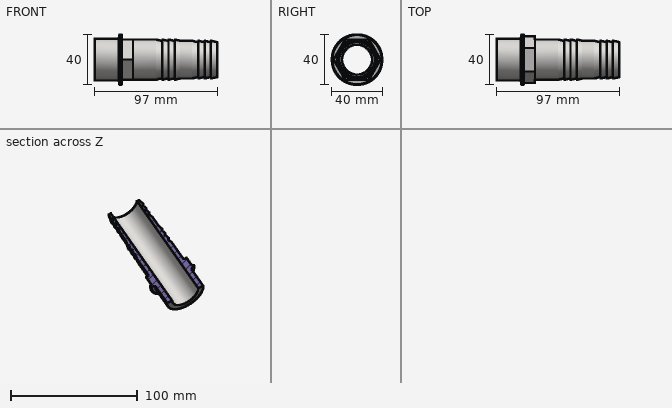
import cadquery as cq
import math

total_length = 97.0
spigot_diameter = 33.2
bore_diameter = 23.5

flange_start = 19.0
flange_end = 21.6
flange_diameter = 40.0
front_face_setback = 0.5
rim_bevel = 0.6

hex_across_flats = 32.0
hex_end = 30.3

barb_count = 4
barb_pitch = 4.9
barb_depth = 1.1
barb_taper_length = 4.3
barb_root_length = 0.4
inner_barb_start = 48.6
inner_barb_diameter = 32.0
outer_barb_start = 77.0
outer_barb_diameter = 30.0

tip_setback = 0.3


def barb_points(start, diameter):
    """List crests and short roots of a barb group, leaving the last taper open."""
    crest = diameter / 2
    root = crest - barb_depth
    points = []
    for index in range(barb_count):
        crest_x = start + index * barb_pitch
        points.append((crest_x, crest))
        if index < barb_count - 1:
            taper_end = crest_x + barb_taper_length
            points.append((taper_end, root))
            points.append((taper_end + barb_root_length, root))
    return points


def revolve_profile(points):
    """Revolve an (x, radius) outline, closed along the X axis, around that axis."""
    outline = [(points[0][0], 0)] + points + [(points[-1][0], 0)]
    return cq.Workplane("XY").polyline(outline).close().revolve(360, (0, 0, 0), (1, 0, 0))


def make_spigot():
    radius = spigot_diameter / 2
    return revolve_profile([(0, radius), (flange_end, radius)])


def make_flange():
    radius = flange_diameter / 2
    rim_front = flange_start + front_face_setback
    return revolve_profile([
        (flange_start, spigot_diameter / 2),
        (rim_front, radius - rim_bevel),
        (rim_front + rim_bevel, radius),
        (flange_end - rim_bevel, radius),
        (flange_end, radius - rim_bevel),
    ])


def make_hex_grip():
    across_corners = hex_across_flats / math.cos(math.pi / 6)
    grip = cq.Workplane("YZ").polygon(6, across_corners).extrude(hex_end - flange_end)
    return grip.translate((flange_end, 0, 0))


def make_hose_shank():
    inner_radius = inner_barb_diameter / 2
    outer_radius = outer_barb_diameter / 2
    last_inner_crest = inner_barb_start + (barb_count - 1) * barb_pitch
    inner_taper_end = last_inner_crest + barb_taper_length * (inner_radius - outer_radius) / barb_depth
    points = [(flange_start, inner_radius)]
    points += barb_points(inner_barb_start, inner_barb_diameter)
    points.append((inner_taper_end, outer_radius))
    points += barb_points(outer_barb_start, outer_barb_diameter)
    points.append((total_length - tip_setback, outer_radius - barb_depth))
    points.append((total_length, bore_diameter / 2))
    return revolve_profile(points)


body = make_spigot().union(make_flange()).union(make_hex_grip()).union(make_hose_shank())
bore = cq.Workplane("YZ").circle(bore_diameter / 2).extrude(total_length)
result = body.cut(bore)